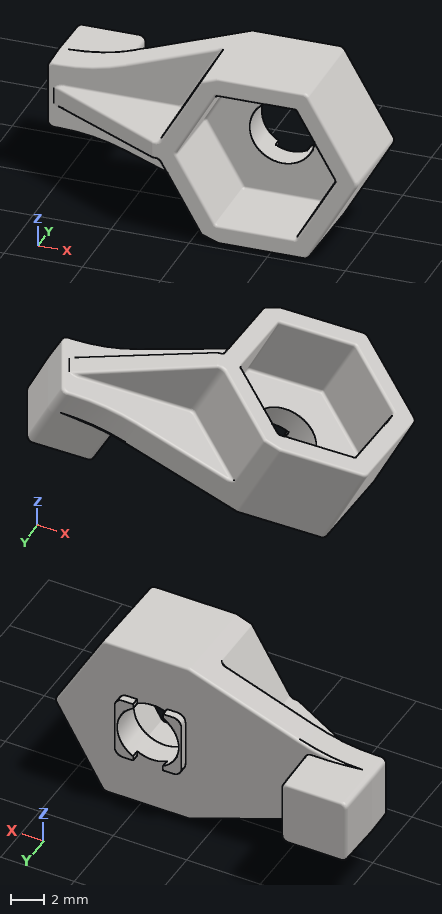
import cadquery as cq
import math


front_depth = 6.28
plate_thickness = 1.99
block_height = 3.2
block_root = 0.22
floor_thickness = 1.6
boss_height = 0.55

hub_width = 11.6
hub_apothem = hub_width / 2
lever_tip_x = -14.96
lever_half_width = 2.29
flare_radius = 12.35
flare_angle = 20.2
flare_end_x = -9.93
block_end_x = -10.4

pocket_apothem = 4.4
hole_radius = 2.1
boss_half_length = 2.27
boss_half_width = 2.15
boss_corner_radius = 0.56
boss_slot_width = 2.03

rib_half_width = 0.71
rib_start_x = -14.49
rib_top_x = -6.63
rib_end_x = -4.32

draft = 1.0
corner_radius = 0.4
edge_radius = 0.2

oversize = 43.18
tolerance = 0.01
near_parallel = 0.9
near_square = 0.3



def sketch_at(y):
    """XZ sketch plane at a given Y; positive extrusions go toward -Y."""
    return cq.Workplane("XZ", origin=(0, y, 0))


def hexagon(apothem):
    """Corner points of a hexagon that has two corners on the X axis."""
    radius = apothem / math.cos(math.radians(30))
    angles = [math.radians(60 * i) for i in range(6)]
    return [(radius * math.cos(a), radius * math.sin(a)) for a in angles]


def fillet_where(solid, test, radius):
    """Round every edge of the solid that passes the test."""
    edges = [edge for edge in solid.edges().vals() if test(edge)]
    return solid.newObject(edges).fillet(radius)


def runs_along_y(edge):
    return abs(edge.tangentAt(0.5).y) > near_parallel


def lies_at_y(edge, y):
    box = edge.BoundingBox()
    return abs(box.ymin - y) < tolerance and abs(box.ymax - y) < tolerance



def lever_outline():
    """Closed outline of the lever plate together with the hub."""
    angle = math.radians(flare_angle)
    start_x = flare_end_x - flare_radius * math.sin(angle)
    mid_x = start_x + flare_radius * math.sin(angle / 2)
    mid_z = lever_half_width + flare_radius * (1 - math.cos(angle / 2))
    end_z = lever_half_width + flare_radius * (1 - math.cos(angle))
    shoulder_x = flare_end_x + (hub_apothem - end_z) / math.tan(angle)
    right_x = hub_apothem / math.cos(math.radians(30))
    return (
        sketch_at(0)
        .moveTo(lever_tip_x, -lever_half_width)
        .lineTo(start_x, -lever_half_width)
        .threePointArc((mid_x, -mid_z), (flare_end_x, -end_z))
        .lineTo(shoulder_x, -hub_apothem)
        .lineTo(right_x / 2, -hub_apothem)
        .lineTo(right_x, 0)
        .lineTo(right_x / 2, hub_apothem)
        .lineTo(shoulder_x, hub_apothem)
        .lineTo(flare_end_x, end_z)
        .threePointArc((mid_x, mid_z), (start_x, lever_half_width))
        .lineTo(lever_tip_x, lever_half_width)
        .close()
    )


def plate_and_hub():
    def is_outline_corner(edge):
        x = edge.Center().x
        at_tip = abs(x - lever_tip_x) < corner_radius
        return runs_along_y(edge) and (at_tip or x > flare_end_x / 2)

    block = lever_outline().extrude(front_depth, taper=draft)
    block = fillet_where(block, is_outline_corner, corner_radius)
    plate_layer = sketch_at(0).rect(oversize, oversize).extrude(plate_thickness)
    hub = sketch_at(0).polyline(hexagon(hub_apothem)).close().extrude(front_depth, taper=draft)
    return block.intersect(plate_layer.union(hub))



def rib():
    bar_length = 2 * (rib_end_x - rib_start_x)
    bar = (
        sketch_at(0)
        .center((rib_start_x + rib_end_x) / 2, 0)
        .rect(bar_length, 2 * rib_half_width)
        .extrude(front_depth, taper=draft)
    )
    side_profile = (
        cq.Workplane("XY")
        .moveTo(rib_start_x, 0)
        .lineTo(rib_start_x, -plate_thickness)
        .lineTo(rib_top_x, -front_depth)
        .lineTo(rib_end_x, -front_depth)
        .lineTo(rib_end_x, 0)
        .close()
        .extrude(oversize, both=True)
    )
    return bar.intersect(side_profile)



def rounded_lever():
    def joins_rib_to_hub(edge):
        center = edge.Center()
        in_rib = rib_top_x < center.x < rib_end_x and abs(center.z) < 2 * rib_half_width
        return runs_along_y(edge) and in_rib

    def is_front_edge(edge):
        on_front = lies_at_y(edge, -front_depth)
        at_ramp_start = abs(edge.Center().x - rib_start_x) < tolerance
        on_plate = lies_at_y(edge, -plate_thickness) and not at_ramp_start
        slope = abs(edge.tangentAt(0.5).y)
        on_ramp = edge.geomType() == "LINE" and near_square < slope < near_parallel
        center = edge.Center()
        on_shoulder = (
            runs_along_y(edge)
            and center.y < -plate_thickness - edge_radius
            and rib_end_x < center.x < -hub_apothem / 2
        )
        return on_front or on_plate or on_ramp or on_shoulder

    def is_back_edge(edge):
        return lies_at_y(edge, 0)

    lever = plate_and_hub().union(rib())
    lever = fillet_where(lever, joins_rib_to_hub, corner_radius)
    lever = fillet_where(lever, is_front_edge, edge_radius)
    return fillet_where(lever, is_back_edge, edge_radius)



def finger_block():
    length = block_end_x - lever_tip_x

    def drafted_part(height):
        part = (
            sketch_at(0)
            .center(lever_tip_x + length / 2, 0)
            .rect(length, 2 * lever_half_width)
            .extrude(height, taper=draft)
        )
        return fillet_where(part, runs_along_y, corner_radius)

    grip = drafted_part(-block_height).faces(">Y").edges().fillet(edge_radius)
    return grip.union(drafted_part(block_root))



def pocket():
    """Hexagonal pocket that narrows toward its floor."""
    depth = front_depth - floor_thickness
    hollow = (
        sketch_at(-front_depth)
        .polyline(hexagon(pocket_apothem))
        .close()
        .extrude(-depth, taper=draft)
    )
    hollow = fillet_where(hollow, runs_along_y, edge_radius)
    return hollow.faces(">Y").edges().fillet(edge_radius)


def is_pocket_rim(edge):
    center = edge.Center()
    reach = (pocket_apothem + hub_apothem) / 2
    distance = max(
        center.x * math.cos(math.radians(a)) + center.z * math.sin(math.radians(a))
        for a in range(30, 390, 60)
    )
    return lies_at_y(edge, -front_depth) and distance < reach


def boss():
    """Rounded rectangular boss on the back face, split by a slot along Z."""
    pad = sketch_at(0).rect(2 * boss_half_length, 2 * boss_half_width).extrude(-boss_height)
    pad = fillet_where(pad, runs_along_y, boss_corner_radius)
    slot = sketch_at(0).rect(boss_slot_width, oversize).extrude(-boss_height)
    return pad.cut(slot)



hole = sketch_at(0).circle(hole_radius).extrude(oversize, both=True)

result = rounded_lever().union(finger_block()).cut(pocket())
result = fillet_where(result, is_pocket_rim, edge_radius)
result = result.union(boss()).cut(hole)